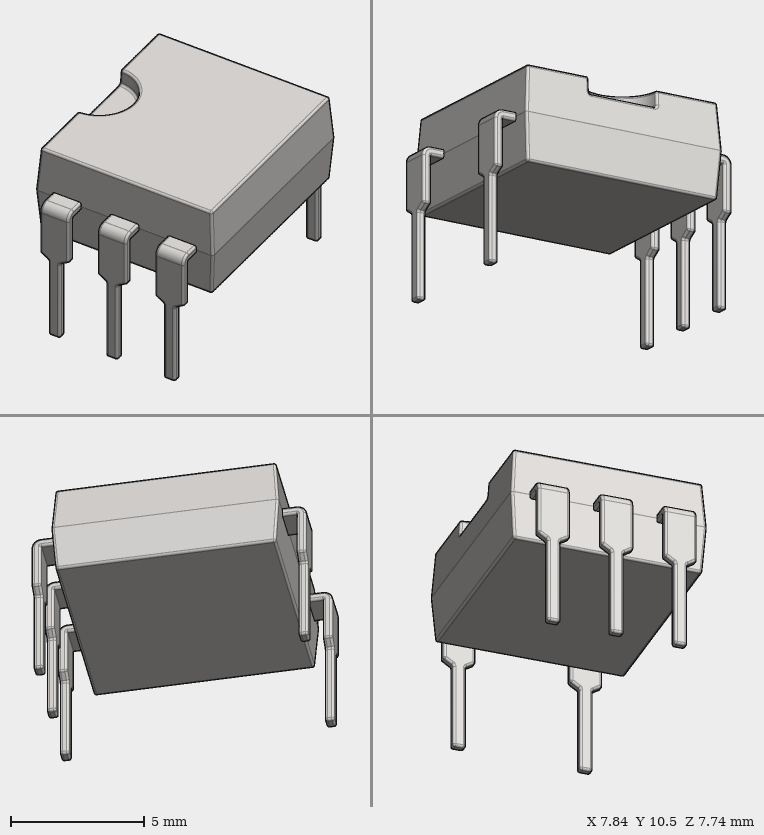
import cadquery as cq
import math

HOUSING_X = 7.84
HOUSING_Y = 8.7
HALF_HEIGHT = 1.92
DRAFT_ANGLE = 4.0
EDGE_RADIUS = 0.1
NOTCH_RADIUS = 1.49
NOTCH_DEPTH = 0.69

PIN_PITCH = 2.54
ROW_SPAN = 10.51
PIN_THICKNESS = 0.36
PIN_BEND_INNER_RADIUS = 0.01
PIN_EDGE_RADIUS = 0.1
SHOULDER_WIDTH = 1.27
TIP_WIDTH = 0.5
SHOULDER_BOTTOM_Z = -2.08
TAPER_BOTTOM_Z = -2.32
TAPER_CORNER_RADIUS = 0.1
PIN_BOTTOM_Z = -5.82

PIN_TOP_Z = PIN_THICKNESS / 2
PIN_OUTER_Y = -ROW_SPAN / 2
PIN_INNER_Y = PIN_OUTER_Y + PIN_THICKNESS
PIN_ROOT_Y = -HOUSING_Y / 2 + EDGE_RADIUS
FRONT_PIN_COLUMNS = (-1, 0, 1)
BACK_PIN_COLUMNS = (-1, 1)


def make_drafted_half():
    """Housing half above the parting plane, with its sides leaning inwards as they rise."""
    return cq.Workplane("XY").rect(HOUSING_X, HOUSING_Y).extrude(HALF_HEIGHT, taper=DRAFT_ANGLE)


def round_off_parting(half):
    """Round every edge of a half except those on the parting plane."""
    return half.edges("not <Z").fillet(EDGE_RADIUS)


def make_housing():
    """Two drafted halves joined at the parting plane, with the index notch in the top."""
    top_edge_x = -HOUSING_X / 2 + HALF_HEIGHT * math.tan(math.radians(DRAFT_ANGLE))
    notch = (
        cq.Workplane("XY", origin=(top_edge_x, 0, HALF_HEIGHT - NOTCH_DEPTH))
        .circle(NOTCH_RADIUS)
        .extrude(2 * NOTCH_DEPTH)
    )
    upper = round_off_parting(make_drafted_half().cut(notch))
    lower = round_off_parting(make_drafted_half()).mirror("XY")
    return upper.union(lower)


def make_bent_strip():
    """L-shaped strip of constant thickness, as wide as the shoulder."""
    strip = (
        cq.Workplane("YZ")
        .moveTo(PIN_ROOT_Y, PIN_TOP_Z)
        .lineTo(PIN_OUTER_Y, PIN_TOP_Z)
        .lineTo(PIN_OUTER_Y, PIN_BOTTOM_Z)
        .lineTo(PIN_INNER_Y, PIN_BOTTOM_Z)
        .lineTo(PIN_INNER_Y, -PIN_TOP_Z)
        .lineTo(PIN_ROOT_Y, -PIN_TOP_Z)
        .close()
        .extrude(SHOULDER_WIDTH / 2, both=True)
    )
    inner_corner = cq.NearestToPointSelector((0, PIN_INNER_Y, -PIN_TOP_Z))
    outer_corner = cq.NearestToPointSelector((0, PIN_OUTER_Y, PIN_TOP_Z))
    strip = strip.edges("|X").edges(inner_corner).fillet(PIN_BEND_INNER_RADIUS)
    return strip.edges("|X").edges(outer_corner).fillet(PIN_BEND_INNER_RADIUS + PIN_THICKNESS)


def make_front_outline():
    """Prism with the pin's outline along Y: wide shoulder, taper, narrow leg."""
    outline = (
        cq.Workplane("XZ")
        .moveTo(-SHOULDER_WIDTH / 2, PIN_TOP_Z)
        .lineTo(-SHOULDER_WIDTH / 2, SHOULDER_BOTTOM_Z)
        .lineTo(-TIP_WIDTH / 2, TAPER_BOTTOM_Z)
        .lineTo(-TIP_WIDTH / 2, PIN_BOTTOM_Z)
        .lineTo(TIP_WIDTH / 2, PIN_BOTTOM_Z)
        .lineTo(TIP_WIDTH / 2, TAPER_BOTTOM_Z)
        .lineTo(SHOULDER_WIDTH / 2, SHOULDER_BOTTOM_Z)
        .lineTo(SHOULDER_WIDTH / 2, PIN_TOP_Z)
        .close()
        .extrude(ROW_SPAN / 2)
    )
    for side in (-1, 1):
        corner = cq.NearestToPointSelector((side * TIP_WIDTH / 2, -ROW_SPAN / 4, TAPER_BOTTOM_Z))
        outline = outline.edges("|Y").edges(corner).fillet(TAPER_CORNER_RADIUS)
    return outline


def make_pin(housing):
    """Pin of the -Y row at x = 0, ending flush against the housing wall."""
    pin = make_bent_strip().intersect(make_front_outline())
    pin = pin.edges("not >Y").fillet(PIN_EDGE_RADIUS)
    return pin.cut(housing)


housing = make_housing()
front_pin = make_pin(housing)
back_pin = front_pin.mirror("XZ")

front_pins = [front_pin.translate((column * PIN_PITCH, 0, 0)) for column in FRONT_PIN_COLUMNS]
back_pins = [back_pin.translate((column * PIN_PITCH, 0, 0)) for column in BACK_PIN_COLUMNS]

result = cq.Compound.makeCompound([housing.val(), *[pin.val() for pin in front_pins + back_pins]])